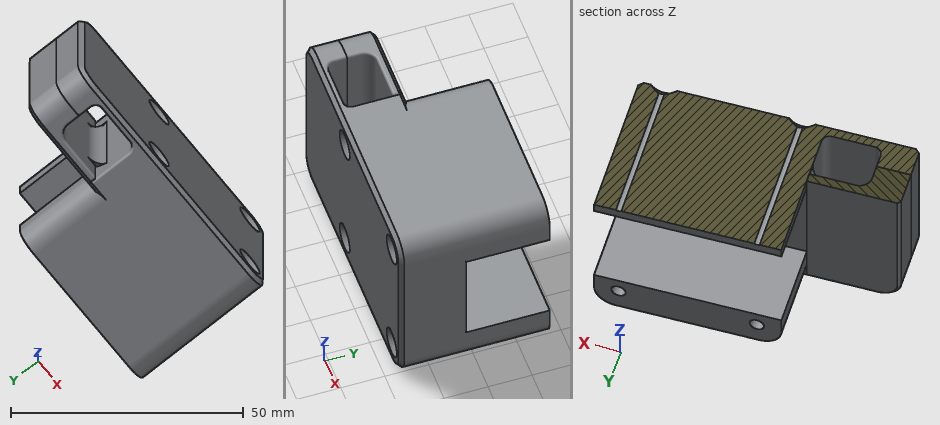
import cadquery as cq
import math

length = 63.0
height = 42.0
depth = 34.0
corner_radius = 5.0

block_left = length / 2 - height
low_depth = 15.0
front_chamfer = 1.0
back_chamfer = 0.7
arm_gap = 23.5

window_left = -23.7
window_front = 2.15
window_back = 12.85
window_front_radius = 1.75
window_back_radius = 2.8
mouth_radius = 0.55

tolerance = 0.05

split_depth = 7.0

web_inset = 5.7
web_slope = 2.8

screw_spacing = 31.0
screw_diameter = 3.2
countersink_diameter = 6.7
countersink_angle = 90.0


def box(x0, x1, y0, y1, z_size):
    """Box between two X and two Y positions, centred on Z."""
    return cq.Workplane("XY").box(x1 - x0, y1 - y0, z_size).translate(((x0 + x1) / 2, (y0 + y1) / 2, 0))


def rounded_box(x0, x1, y0, y1):
    """Full-height box whose four edges along Y are rounded."""
    return box(x0, x1, y0, y1, height).edges("|Y").fillet(corner_radius)


def low_box():
    """Low section of the full length, chamfered around both faces."""
    low = rounded_box(-length / 2, length / 2, 0, low_depth)
    return low.faces("<Y").chamfer(front_chamfer).faces(">Y").chamfer(back_chamfer)


def arms():
    """Two arms left by a slot along X through the tall part of the block."""
    tall = rounded_box(block_left, length / 2, low_depth - back_chamfer, depth)
    return tall.cut(box(-length / 2, length / 2, low_depth, depth, arm_gap))


def window():
    """Cutter for the window, square-cornered where the cover meets the block."""
    cutter = box(window_left, block_left, window_front, window_back, height)
    cutter = cutter.edges("|Z and <Y").fillet(window_front_radius)
    return cutter.edges("|Z and >Y and <X").fillet(window_back_radius)


def mouth_edges(body):
    """Edges of the window, and of the seam behind it, on the body's top and bottom faces."""
    around_window = cq.selectors.BoxSelector(
        (window_left - tolerance, window_front - tolerance, -height),
        (block_left + tolerance, low_depth - back_chamfer - tolerance, height),
    )
    return body.faces(">Z or <Z").edges(around_window)


def screw_holes():
    """Cutters for the countersunk holes, opening on the screw face."""
    half = screw_spacing / 2
    centre_x = (block_left + length / 2) / 2
    cone_depth = countersink_diameter / 2 / math.tan(math.radians(countersink_angle / 2))
    cone = cq.Solid.makeCone(countersink_diameter / 2, 0, cone_depth, dir=cq.Vector(0, 1, 0))
    shaft = cq.Solid.makeCylinder(screw_diameter / 2, depth, dir=cq.Vector(0, 1, 0))
    cutter = cq.Workplane(cone.fuse(shaft))
    cutters = cq.Workplane()
    for x in (centre_x - half, centre_x + half):
        for z in (-half, half):
            cutters = cutters.add(cutter.translate((x, 0, z)))
    return cutters.combine()


def cover_space():
    """Region of the low section that belongs to the cover."""
    return box(-length / 2, block_left, split_depth, low_depth, height)


def corner_web():
    """Concave web filling the window corner at the cover's end, with sloping ends."""
    web_front = window_back - window_back_radius
    web = box(block_left - window_back_radius, block_left, web_front, window_back, height)
    round_cut = cq.Workplane("XY").center(block_left - window_back_radius, web_front).circle(window_back_radius)
    web = web.cut(round_cut.extrude(height, both=True))
    tall_end = height / 2 - web_inset
    short_end = tall_end - web_slope
    profile = [
        (web_front, tall_end),
        (window_back, short_end),
        (window_back, -short_end),
        (web_front, -tall_end),
    ]
    return web.intersect(cq.Workplane("YZ").polyline(profile).close().extrude(length, both=True))


def make_housing():
    """Front plate and block in one piece."""
    body = low_box().union(arms()).cut(screw_holes())
    body = body.cut(cover_space()).cut(window())
    return mouth_edges(body).fillet(mouth_radius)


def make_cover():
    """Cover behind the split plane, rounded where it meets the block."""
    body = low_box().intersect(cover_space()).cut(window())
    seam_edges = body.faces(">X").edges("|Z").edges("<Y")
    body = mouth_edges(body).add(seam_edges).fillet(mouth_radius)
    return body.union(corner_web())


housing = make_housing()
cover = make_cover()

result = cq.Compound.makeCompound([housing.solids().val(), cover.solids().val()])